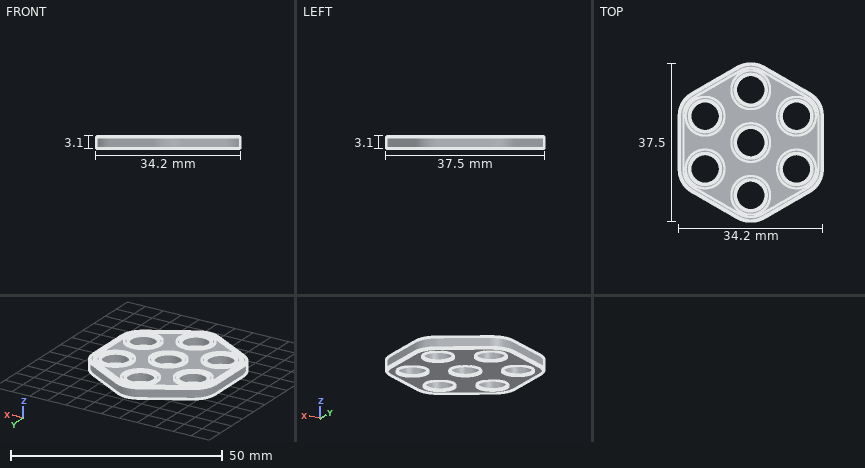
import cadquery as cq
import math

overall_length = 37.5
thickness = 3.1
edge_chamfer = 0.3

hole_pitch = overall_length / 3
corner_radius = overall_length / 2 - hole_pitch
hole_diameter = 7.0
hole_chamfer = 0.3
outer_hole_count = 6

rim_width = 1.1
land_diameter = 9.2
field_depth = 0.2


def point_on_pitch_circle(index):
    """Centre of one outer hole, counted anticlockwise from the +Y direction."""
    angle = math.pi / 2 + 2 * math.pi * index / outer_hole_count
    return (hole_pitch * math.cos(angle), hole_pitch * math.sin(angle))


outer_centres = [point_on_pitch_circle(index) for index in range(outer_hole_count)]
hole_centres = [(0, 0)] + outer_centres


def rounded_hexagon(arc_radius, height):
    """Hexagonal prism whose rounded corners are concentric with the outer holes."""
    prism = cq.Workplane("XY").polyline(outer_centres).close().offset2D(arc_radius, "arc")
    return prism.extrude(height)


def discs(diameter, height):
    """Upright cylinders, one at every hole centre."""
    return cq.Workplane("XY").pushPoints(hole_centres).circle(diameter / 2).extrude(height)


def make_field():
    """Volume removed from the top face between the rim and the lands."""
    field = rounded_hexagon(corner_radius - rim_width, field_depth)
    field = field.cut(discs(land_diameter, field_depth))
    return field.translate((0, 0, thickness - field_depth))


def hole_cutter():
    """Revolved cutter for a through hole chamfered at both ends."""
    radius = hole_diameter / 2
    mouth_radius = radius + hole_chamfer
    profile = [
        (0, 0),
        (mouth_radius, 0),
        (radius, hole_chamfer),
        (radius, thickness - hole_chamfer),
        (mouth_radius, thickness),
        (0, thickness),
    ]
    return cq.Workplane("XZ").polyline(profile).close().revolve(360, (0, 0, 0), (0, 1, 0))


plate = rounded_hexagon(corner_radius, thickness)
plate = plate.faces("<Z or >Z").chamfer(edge_chamfer)
plate = plate.cut(make_field())

cutter = hole_cutter()
for x, y in hole_centres:
    plate = plate.cut(cutter.translate((x, y, 0)))

result = plate.translate((0, 0, -thickness / 2))